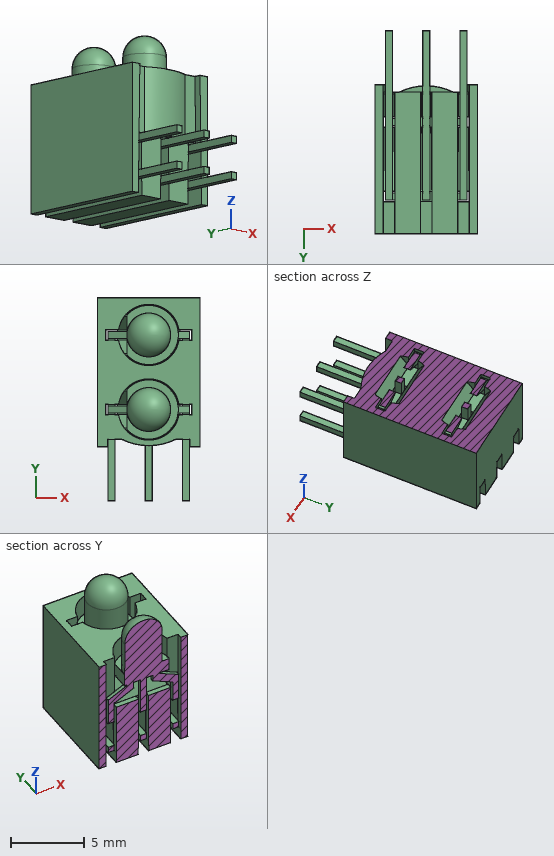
import cadquery as cq
import math


body_width = 7.01
body_height = 9.0
led_pitch = 5.08
body_length = 2 * led_pitch
front_y = -body_length / 2
rear_y = body_length / 2

lens_radius = 1.5
overall_height = 11.7
dome_center_z = overall_height - lens_radius
flange_radius = 2.02
flange_thickness = 1.0
flange_top_z = 7.5
flange_bottom_z = flange_top_z - flange_thickness
rear_led_y = led_pitch / 2
front_led_y = -led_pitch / 2

lead_size = 0.5
lead_pitch = 2.53
lead_columns = (-lead_pitch, 0, lead_pitch)
lower_lead_z = 1.38
upper_lead_z = lower_lead_z + lead_pitch
overall_length = 13.85
lead_tip_y = rear_y - overall_length
shoulder_start_x = 1.25
shoulder_angle = 25.0

seat_radius = 2.09
lead_slot_width = 0.7
lead_slot_length = 5.85
passage_length = lead_slot_length - 2 * lead_pitch
trough_width = 2.55
trough_angle = 60.0
trough_depth = (trough_width - lead_slot_width) / 2 * math.tan(math.radians(trough_angle))
trough_bottom_z = flange_bottom_z - trough_depth

recess_depth = 0.51
recess_y = front_y + recess_depth
recess_half_width_bottom = 2.94
recess_half_width_top = 2.8
swell_half_width = 1.87
swell_rise = 0.45
swell_bottom_z = 4.36
side_draft = (recess_half_width_bottom - recess_half_width_top) / body_height

channel_half_width = recess_half_width_bottom - lead_pitch
channel_mouth_z = swell_bottom_z
mouth_bevel_height = 0.18
mouth_bevel_depth = 0.11
channel_clearance = 0.01
channel_rear_z = lower_lead_z + lead_size / 2 + channel_clearance
ramp_start_y = front_led_y + lead_slot_width / 2
ramp_end_y = rear_led_y - lead_slot_width / 2


def box_between(x_range, y_range, z_range):
    """Axis-aligned box given by its limits along each axis."""
    (x0, x1), (y0, y1), (z0, z1) = x_range, y_range, z_range
    return cq.Workplane("XY").box(x1 - x0, y1 - y0, z1 - z0, centered=False).translate((x0, y0, z0))


def make_housing_block():
    block = box_between((-body_width / 2, body_width / 2), (front_y, rear_y), (0, body_height))
    recess = (
        cq.Workplane("XZ", origin=(0, recess_y, 0))
        .moveTo(-recess_half_width_bottom, 0)
        .lineTo(recess_half_width_bottom, 0)
        .lineTo(recess_half_width_top, body_height)
        .lineTo(-recess_half_width_top, body_height)
        .close()
        .extrude(recess_depth)
    )
    swell = (
        cq.Workplane("XY", origin=(0, 0, swell_bottom_z))
        .moveTo(-swell_half_width, recess_y)
        .threePointArc((0, recess_y - swell_rise), (swell_half_width, recess_y))
        .close()
        .extrude(body_height - swell_bottom_z)
    )
    return block.cut(recess).union(swell)


def make_seat(led_y):
    """Round pocket, V-shaped trough, lead slot and lead passages that receive one LED."""
    pocket = cq.Workplane("XY").circle(seat_radius).extrude(body_height - flange_bottom_z)
    pocket = pocket.translate((0, 0, flange_bottom_z))
    trough = (
        cq.Workplane("YZ")
        .moveTo(-trough_width / 2, flange_bottom_z)
        .lineTo(-lead_slot_width / 2, trough_bottom_z)
        .lineTo(lead_slot_width / 2, trough_bottom_z)
        .lineTo(trough_width / 2, flange_bottom_z)
        .close()
        .extrude(seat_radius, both=True)
    )
    trough_limit = cq.Workplane("XY").circle(seat_radius).extrude(body_height)
    slot = box_between(
        (-lead_slot_length / 2, lead_slot_length / 2),
        (-lead_slot_width / 2, lead_slot_width / 2),
        (trough_bottom_z, body_height),
    )
    seat = pocket.union(trough.intersect(trough_limit)).union(slot)
    for x in lead_columns:
        passage = cq.Workplane("XY").rect(passage_length, lead_slot_width).extrude(trough_bottom_z)
        seat = seat.union(passage.translate((x, 0, 0)))
    return seat.translate((0, led_y, 0))


def make_channel(x):
    """Drafted channel along Y around one column of leads."""
    half_width_top = channel_half_width - side_draft * channel_mouth_z
    cross_section = (
        cq.Workplane("XZ", origin=(x, rear_y, 0))
        .moveTo(-channel_half_width, 0)
        .lineTo(channel_half_width, 0)
        .lineTo(half_width_top, channel_mouth_z)
        .lineTo(-half_width_top, channel_mouth_z)
        .close()
        .extrude(body_length)
    )
    bevel_z = channel_mouth_z - mouth_bevel_height
    side_profile = (
        cq.Workplane("YZ", origin=(x, 0, 0))
        .moveTo(front_y, 0)
        .lineTo(front_y, channel_mouth_z)
        .lineTo(recess_y, channel_mouth_z)
        .lineTo(recess_y + mouth_bevel_depth, bevel_z)
        .lineTo(ramp_start_y, bevel_z)
        .lineTo(ramp_end_y, channel_rear_z)
        .lineTo(rear_y, channel_rear_z)
        .lineTo(rear_y, 0)
        .close()
        .extrude(channel_half_width, both=True)
    )
    return cross_section.intersect(side_profile)


def make_led(led_y):
    """Domed lens on a flange that is cut flat on its -X side."""
    flange = cq.Workplane("XY").circle(flange_radius).extrude(flange_thickness)
    flange = flange.translate((0, 0, flange_bottom_z))
    flat_cut = box_between(
        (-seat_radius, -lens_radius), (-seat_radius, seat_radius), (flange_bottom_z, flange_top_z)
    )
    stem_height = dome_center_z - flange_bottom_z
    stem = cq.Workplane("XY").circle(lens_radius).extrude(stem_height).translate((0, 0, flange_bottom_z))
    dome = cq.Workplane("XY").sphere(lens_radius).translate((0, 0, dome_center_z))
    return flange.cut(flat_cut).union(stem).union(dome).translate((0, led_y, 0))


def make_leads(led_y, lead_z):
    """Three leads that drop from one LED and bend towards -Y at height lead_z."""
    half = lead_size / 2
    leads = cq.Workplane("XY")
    for x in lead_columns:
        x_range = (x - half, x + half)
        leads = leads.union(box_between(x_range, (lead_tip_y, led_y + half), (lead_z - half, lead_z + half)))

    center_drop = box_between((-half, half), (led_y - half, led_y + half), (lead_z, flange_bottom_z))
    leads = leads.union(center_drop)

    inner_x = lead_pitch - half
    outer_x = lead_pitch + half
    stub_x = shoulder_start_x - lead_size
    shoulder_slope = math.tan(math.radians(shoulder_angle))
    outer_shoulder_z = flange_bottom_z - (outer_x - shoulder_start_x) * shoulder_slope
    inner_shoulder_z = flange_bottom_z - lead_size - (inner_x - stub_x) * shoulder_slope
    for side in (-1, 1):
        outer_drop = (
            cq.Workplane("XZ", origin=(0, led_y + half, 0))
            .moveTo(side * inner_x, lead_z)
            .lineTo(side * outer_x, lead_z)
            .lineTo(side * outer_x, outer_shoulder_z)
            .lineTo(side * shoulder_start_x, flange_bottom_z)
            .lineTo(side * stub_x, flange_bottom_z)
            .lineTo(side * stub_x, flange_bottom_z - lead_size)
            .lineTo(side * inner_x, inner_shoulder_z)
            .close()
            .extrude(lead_size)
        )
        leads = leads.union(outer_drop)
    return leads


result = make_housing_block()
for seat_y in (rear_led_y, front_led_y):
    result = result.cut(make_seat(seat_y))
for column_x in lead_columns:
    result = result.cut(make_channel(column_x))
for seat_y, bend_z in ((rear_led_y, lower_lead_z), (front_led_y, upper_lead_z)):
    result = result.union(make_led(seat_y)).union(make_leads(seat_y, bend_z))